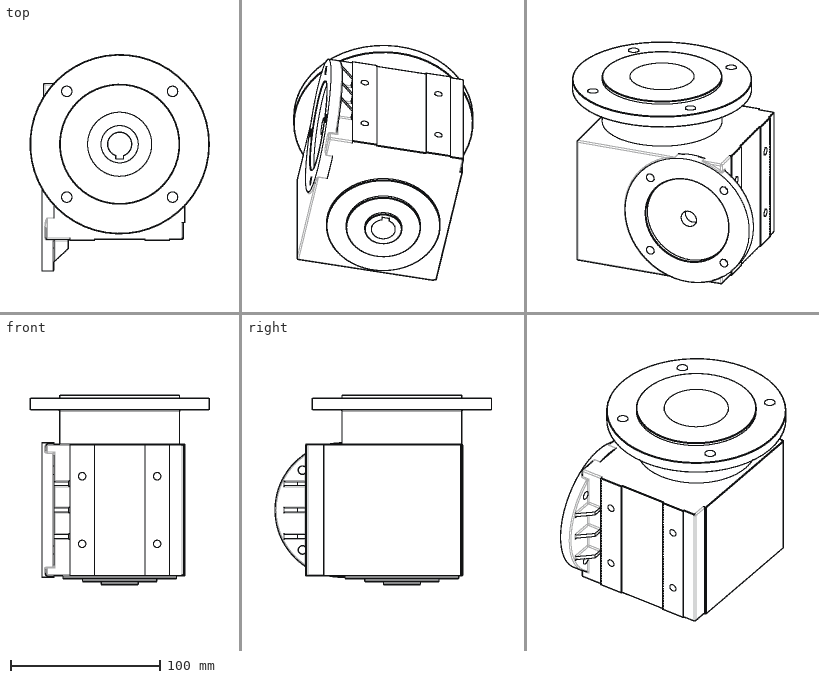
import cadquery as cq
import math

EDGE_ROUND = 1.0
EDGE_BREAK = 0.5
BLEND_RADIUS = 0.9
TOLERANCE = 0.03
DRILL_POINT_ANGLE = 118

BODY_LEFT = -49.3
SLAB_LEFT = -51.0
BODY_RIGHT = 42.6
BODY_FRONT = -63.8
BODY_BACK = 40.7
BODY_HALF_HEIGHT = 44.1

FRONT_PAD_HEIGHT = 0.7
FRONT_PAD_WIDTH = 16.5
FRONT_PAD_X = 25.1
SIDE_PAD_HEIGHT = 1.2
SIDE_PAD_FRONT = -52.5
MOUNT_HOLE_DIA = 5.0
MOUNT_HOLE_Z = 22.6
MOUNT_HOLE_DEPTH = 10.2

OUTPUT_DIA = 120.0
OUTPUT_THICKNESS = 8.0
OUTPUT_BASE = 67.0
NECK_DIA = 80.3
SPIGOT_HEIGHT = 2.0
OUTPUT_TOP = OUTPUT_BASE + OUTPUT_THICKNESS
SPIGOT_TOP = OUTPUT_TOP + SPIGOT_HEIGHT
OUTPUT_HOLE_DIA = 7.0
OUTPUT_HOLE_OFFSET = 35.4

POCKET_DIA = 42.9
SHAFT_DIA = 25.0
SHAFT_BORE_DIA = 16.0
SHAFT_TOP_HEIGHT = 2.0
KEYWAY_WIDTH = 5.0
KEYWAY_REACH = 9.7

BOTTOM_Z = -50.0
BOTTOM_STEPS = ((76.3, -46.0), (49.9, -48.0), (SHAFT_DIA, BOTTOM_Z))

INPUT_DIA = 90.2
INPUT_Y = -39.9
INPUT_FACE = -52.0
INPUT_THICKNESS = 8.0
INPUT_BACK = INPUT_FACE + INPUT_THICKNESS
INPUT_RECESS_DIA = 60.0
INPUT_RECESS_DEPTH = 2.9
INPUT_BORE_DIA = 11.0
INPUT_BORE_DEPTH = 10.2
INPUT_HOLE_DIA = 5.5
INPUT_HOLE_OFFSET = 26.7
INPUT_BLIND_DEPTH = 13.0

RIB_PITCH = 17.7
RIB_THICKNESS = 2.5
RIB_END_X = -34.4
RIB_END_Y = -69.9
RIB_TIP_Y = -78.9

MIN_ARC_EXTENT = 7.2
CORNER_CLEARANCE = 4.4


def block(x_min, x_max, y_min, y_max, z_min, z_max):
    size = (x_max - x_min, y_max - y_min, z_max - z_min)
    return cq.Workplane("XY").box(*size, centered=False).translate((x_min, y_min, z_min))


def disc(diameter, z_min, z_max):
    return cq.Workplane("XY").workplane(offset=z_min).circle(diameter / 2).extrude(z_max - z_min)


def input_cylinder(diameter, length):
    """Cylinder on the input axis, starting at the face of the input flange."""
    return cq.Workplane("YZ", origin=(INPUT_FACE, INPUT_Y, 0)).circle(diameter / 2).extrude(length)


def drilled_hole(diameter, depth, point, direction):
    """Blind hole with a conical drill point."""
    radius = diameter / 2
    tip = radius / math.tan(math.radians(DRILL_POINT_ANGLE / 2))
    start = cq.Vector(*point)
    axis = cq.Vector(*direction)
    shank = cq.Solid.makeCylinder(radius, depth, start, axis)
    cone = cq.Solid.makeCone(radius, 0, tip, start + axis * depth, axis)
    return cq.Workplane(shank.fuse(cone))


def housing():
    body = block(BODY_LEFT, BODY_RIGHT, BODY_FRONT, BODY_BACK, -BODY_HALF_HEIGHT, BODY_HALF_HEIGHT)
    slab = block(SLAB_LEFT, 0, INPUT_Y, BODY_BACK, -BODY_HALF_HEIGHT, BODY_HALF_HEIGHT)
    return body.edges().fillet(EDGE_ROUND).union(slab.edges().fillet(EDGE_ROUND))


def pads():
    """Machined side, front feet and the flat between the feet, with only slightly broken edges."""
    height = BODY_HALF_HEIGHT
    side_face = BODY_RIGHT + SIDE_PAD_HEIGHT
    foot_face = BODY_FRONT - FRONT_PAD_HEIGHT
    half_width = FRONT_PAD_WIDTH / 2
    flat_left = -FRONT_PAD_X
    flat_right = BODY_RIGHT - EDGE_ROUND
    side = block(0, side_face, SIDE_PAD_FRONT, BODY_BACK - EDGE_ROUND, -height, height)
    flat = block(flat_left, flat_right, BODY_FRONT, 0, -height, height)
    raised = side.faces(">X").edges().chamfer(EDGE_BREAK).union(flat.edges("|X and <Y").chamfer(EDGE_BREAK))
    for x in (-FRONT_PAD_X, FRONT_PAD_X):
        foot = block(x - half_width, x + half_width, foot_face, 0, -height, height)
        raised = raised.union(foot.edges("|X and <Y").chamfer(EDGE_BREAK))
    return raised


def rib(z):
    outline = [
        (INPUT_BACK - EDGE_ROUND, BODY_FRONT + EDGE_ROUND),
        (RIB_END_X, BODY_FRONT + EDGE_ROUND),
        (RIB_END_X, RIB_END_Y),
        (INPUT_BACK, RIB_TIP_Y),
        (INPUT_BACK - EDGE_ROUND, RIB_TIP_Y),
    ]
    base = cq.Workplane("XY").workplane(offset=z - RIB_THICKNESS / 2)
    return base.polyline(outline).close().extrude(RIB_THICKNESS)


def output_flange():
    """Neck, flange and spigot turned about Z."""
    neck_radius = NECK_DIA / 2
    rim_radius = OUTPUT_DIA / 2
    profile = (
        cq.Workplane("XZ")
        .moveTo(0, 0)
        .lineTo(neck_radius, 0)
        .lineTo(neck_radius, OUTPUT_BASE - EDGE_ROUND)
        .radiusArc((neck_radius + EDGE_ROUND, OUTPUT_BASE), EDGE_ROUND)
        .lineTo(rim_radius - EDGE_BREAK, OUTPUT_BASE)
        .lineTo(rim_radius, OUTPUT_BASE + EDGE_BREAK)
        .lineTo(rim_radius, OUTPUT_TOP - EDGE_BREAK)
        .lineTo(rim_radius - EDGE_BREAK, OUTPUT_TOP)
        .lineTo(neck_radius, OUTPUT_TOP)
        .lineTo(neck_radius, SPIGOT_TOP - EDGE_BREAK)
        .lineTo(neck_radius - EDGE_BREAK, SPIGOT_TOP)
        .lineTo(0, SPIGOT_TOP)
        .close()
    )
    return profile.revolve()


def input_recess():
    """Shallow round recess with a broken mouth edge."""
    radius = INPUT_RECESS_DIA / 2
    recess = input_cylinder(INPUT_RECESS_DIA, INPUT_RECESS_DEPTH)
    mouth_centre = cq.Vector(INPUT_FACE, INPUT_Y, 0)
    mouth = cq.Solid.makeCone(radius + EDGE_BREAK, radius, EDGE_BREAK, mouth_centre, cq.Vector(1, 0, 0))
    return recess.union(cq.Workplane(mouth))


def bottom_steps():
    steps = disc(SHAFT_DIA, BOTTOM_Z + EDGE_BREAK, 0)
    for diameter, level in BOTTOM_STEPS:
        steps = steps.union(disc(diameter, level, 0).faces("<Z").edges().chamfer(EDGE_BREAK))
    return steps


def same(a, b):
    return abs(a - b) < TOLERANCE


def is_input_root(edge):
    """True for an inside edge where the input flange or a rib meets the housing or the flange."""
    box = edge.BoundingBox()
    curved = edge.geomType() != "LINE"
    flat_in_x = same(box.xmin, box.xmax)
    on_front = same(box.ymin, BODY_FRONT) and same(box.ymax, BODY_FRONT)
    if on_front:
        below_top = box.zmax < BODY_HALF_HEIGHT - 2 * EDGE_ROUND
        at_body_edge = flat_in_x and box.xmin < INPUT_BACK - EDGE_ROUND
        return below_top and not at_body_edge and box.xmax < RIB_END_X + TOLERANCE
    if curved and flat_in_x:
        on_slab = same(box.xmin, SLAB_LEFT) and box.zlen > MIN_ARC_EXTENT
        on_body = same(box.xmin, BODY_LEFT) and box.ylen > MIN_ARC_EXTENT
        return on_slab or on_body
    if curved:
        at_corner = same(box.xmin, BODY_LEFT) and same(box.ymin, BODY_FRONT)
        return at_corner and max(abs(box.zmin), abs(box.zmax)) < BODY_HALF_HEIGHT - CORNER_CLEARANCE
    beside_rib = box.ymax < BODY_FRONT + TOLERANCE
    return flat_in_x and same(box.xmin, INPUT_BACK) and beside_rib


def is_input_rim(edge):
    """True for the back rim of the input flange where it overhangs the housing."""
    box = edge.BoundingBox()
    on_back = same(box.xmin, INPUT_BACK) and same(box.xmax, INPUT_BACK)
    return on_back and edge.geomType() == "CIRCLE" and box.ymax < BODY_FRONT + EDGE_ROUND


def fillet_where(part, test):
    return part.newObject([edge for edge in part.edges().vals() if test(edge)]).fillet(BLEND_RADIUS)


result = housing().union(input_cylinder(INPUT_DIA, INPUT_THICKNESS))
for z in (-RIB_PITCH, 0, RIB_PITCH):
    result = result.union(rib(z))
result = fillet_where(result, is_input_root)
result = fillet_where(result, is_input_rim)

result = result.union(pads()).union(output_flange()).union(bottom_steps())

result = result.cut(disc(POCKET_DIA, BODY_HALF_HEIGHT, SPIGOT_TOP))
result = result.union(disc(SHAFT_DIA, 0, BODY_HALF_HEIGHT + SHAFT_TOP_HEIGHT))
result = result.cut(disc(SHAFT_BORE_DIA, BOTTOM_Z, SPIGOT_TOP))
half_key = KEYWAY_WIDTH / 2
result = result.cut(block(-half_key, half_key, -KEYWAY_REACH, 0, BOTTOM_Z, SPIGOT_TOP))

result = result.cut(input_recess())
result = result.cut(input_cylinder(INPUT_BORE_DIA, INPUT_BORE_DEPTH))

for side_a in (-1, 1):
    for side_b in (-1, 1):
        output_hole = disc(OUTPUT_HOLE_DIA, OUTPUT_BASE, OUTPUT_TOP)
        output_place = (side_a * OUTPUT_HOLE_OFFSET, side_b * OUTPUT_HOLE_OFFSET, 0)
        result = result.cut(output_hole.translate(output_place))

        input_depth = INPUT_THICKNESS if side_a < 0 else INPUT_BLIND_DEPTH
        input_point = (INPUT_FACE, INPUT_Y + side_a * INPUT_HOLE_OFFSET, side_b * INPUT_HOLE_OFFSET)
        result = result.cut(drilled_hole(INPUT_HOLE_DIA, input_depth, input_point, (1, 0, 0)))

        mount_point = (side_a * FRONT_PAD_X, BODY_FRONT - FRONT_PAD_HEIGHT, side_b * MOUNT_HOLE_Z)
        result = result.cut(drilled_hole(MOUNT_HOLE_DIA, MOUNT_HOLE_DEPTH, mount_point, (0, 1, 0)))